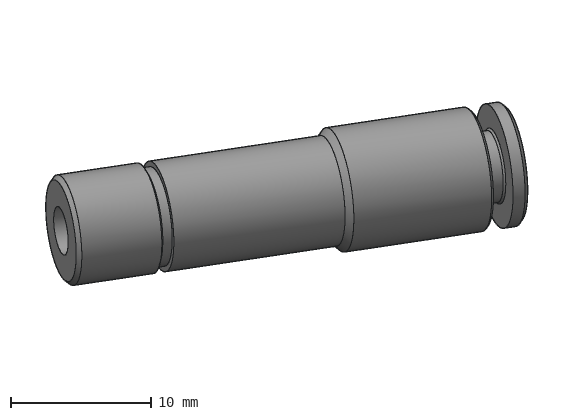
import cadquery as cq

total_length = 33.6
bore_radius = 1.75

stem_radius = 4.0
stem_length = 20.0
stem_end_chamfer = 0.32

groove_radius = 3.6
groove_start = 6.3
groove_slope_length = 0.2
groove_end = 7.2

body_radius = 4.5
body_end = 31.0
body_front_chamfer = body_radius - stem_radius
body_rear_chamfer = 0.2

neck_radius = 2.6
rear_cone_height = 0.2

button_radius = body_radius
button_thickness = 1.2
button_chamfer = 0.3
button_start = total_length - button_thickness
neck_flare = 0.15


def half_section():
    """Closed half section in the YZ plane, as (distance along the axis, radius)."""
    return (
        cq.Workplane("YZ")
        .moveTo(0, bore_radius)
        .lineTo(0, stem_radius - stem_end_chamfer)
        .lineTo(stem_end_chamfer, stem_radius)
        .lineTo(groove_start, stem_radius)
        .lineTo(groove_start + groove_slope_length, groove_radius)
        .lineTo(groove_end, groove_radius)
        .lineTo(groove_end, stem_radius)
        .lineTo(stem_length, stem_radius)
        .lineTo(stem_length + body_front_chamfer, body_radius)
        .lineTo(body_end - body_rear_chamfer, body_radius)
        .lineTo(body_end, body_radius - body_rear_chamfer)
        .lineTo(body_end + rear_cone_height, neck_radius)
        .lineTo(button_start - neck_flare, neck_radius)
        .lineTo(button_start, neck_radius + neck_flare)
        .lineTo(button_start, button_radius)
        .lineTo(total_length - button_chamfer, button_radius)
        .lineTo(total_length, button_radius - button_chamfer)
        .lineTo(total_length, bore_radius)
        .close()
    )


axis_start = (0, 0, 0)
axis_end = (1, 0, 0)
result = half_section().revolve(360, axis_start, axis_end)